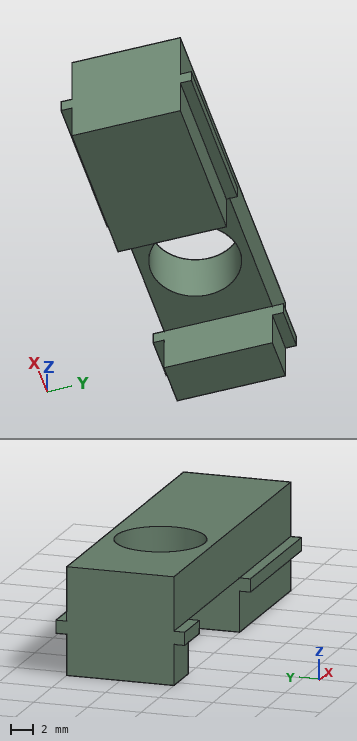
import cadquery as cq

length = 32.0
body_width = 10.0
height = 10.0
overall_width = 12.0

slab_thickness = height / 2
foot_height = height - slab_thickness
short_foot_length = 4.0
long_foot_length = 14.0

rail_height = 1.2

hole_diameter = 8.2
gap_end = length - long_foot_length
hole_x = (short_foot_length + gap_end) / 2


def block(x_start, x_length, width, z_bottom, z_height):
    """Box centred on Y, placed by its low X and low Z faces."""
    return (
        cq.Workplane("XY")
        .box(x_length, width, z_height, centered=(False, True, False))
        .translate((x_start, 0, z_bottom))
    )


result = block(0, length, body_width, foot_height, slab_thickness)

for foot_start, foot_length in ((0, short_foot_length), (gap_end, long_foot_length)):
    foot = block(foot_start, foot_length, body_width, 0, foot_height)
    rails = block(foot_start, foot_length, overall_width, foot_height - rail_height, rail_height)
    result = result.union(foot).union(rails)

hole = (
    cq.Workplane("XY")
    .center(hole_x, 0)
    .circle(hole_diameter / 2)
    .extrude(height)
)
result = result.cut(hole)